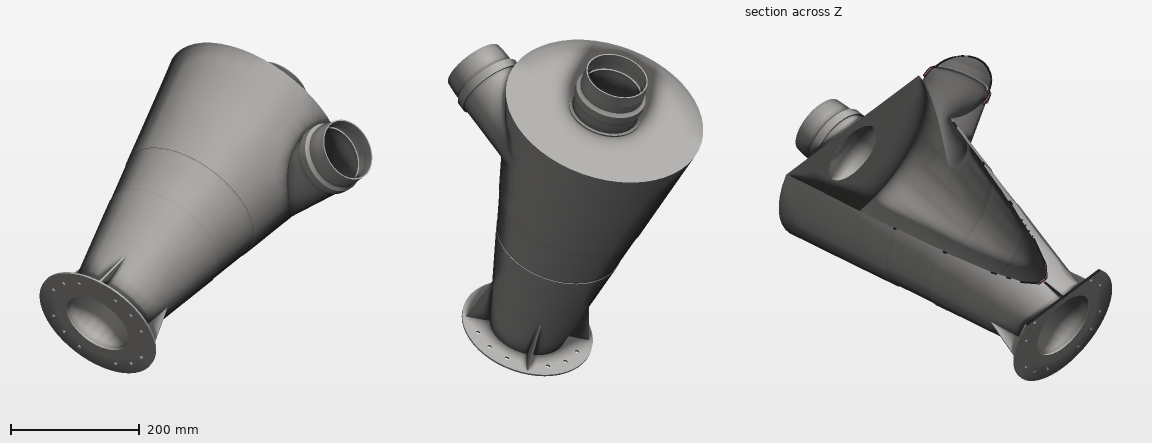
import cadquery as cq
import math


sheet = 1.0
cone_length = 474.0
top_radius = 317.45 / 2
base_radius = 60.5
upper_joint_y = 276.5
lower_joint_y = 196.5
joint_overlap = 6.5
slope = (top_radius - base_radius) / cone_length

flange_radius = 105.0
flange_thickness = 3.0
flange_hole_radius = 56.0
bolt_circle_radius = 86.0
bolt_hole_diameter = 6.5
bolt_spacing = 22.5
bolts_per_quarter = 3
gusset_count = 4
gusset_thickness = 3.0
gusset_foot_radius = 98.5
gusset_top_y = 82.0

mouth_radius = 49.25
hose_radius = 50.8
pipe_radius = 52.5
collar_radius = 55.8
taper_depth = 18.4
shoulder_depth = 31.7
collar_top_depth = 36.7
collar_bottom_depth = 50.0
spigot_wall = 2.0
lip_radius = 46.25
pipe_wall = 1.0

outlet_length = 550.33 - cone_length
outlet_flange_radius = 57.5
outlet_flange_thickness = 2.5

inlet_swing = math.radians(50.0)
inlet_tilt = math.radians(10.0)
inlet_mouth = cq.Vector(197.3, cone_length - 48.2, 103.0)
inlet_length = 210.0


def cone_radius(y):
    """Outside radius of the upper and lower shell sections at height y."""
    return base_radius + slope * y


def revolve_about_y(points):
    """Solid of revolution about Y from (radius, y) points."""
    return cq.Workplane("XY").polyline(points).close().revolve(360, (0, 0, 0), (0, 1, 0))


def cone_solid(y_low, y_high, inset):
    """Solid cone between two heights, inset from the outside of the shell."""
    low = cone_radius(y_low) - inset
    high = cone_radius(y_high) - inset
    return revolve_about_y([(0, y_low), (low, y_low), (high, y_high), (0, y_high)])


def cone_shell(y_low, y_high, inset):
    """One sheet thickness of cone."""
    return cone_solid(y_low, y_high, inset).cut(cone_solid(y_low, y_high, inset + sheet))


def spigot_outside(length):
    """Spigot envelope about Y, mouth at Y = 0 and pipe running to Y = -length."""
    return revolve_about_y([
        (0, 0),
        (mouth_radius, 0),
        (hose_radius, -taper_depth),
        (hose_radius, -shoulder_depth),
        (collar_radius, -collar_top_depth),
        (collar_radius, -collar_bottom_depth),
        (pipe_radius, -collar_bottom_depth),
        (pipe_radius, -length),
        (0, -length),
    ])


def spigot_bore(length):
    """Passage through a spigot: tapered hose end, ledge at the shoulder, then a flare to the pipe bore."""
    hose_bore = hose_radius - spigot_wall
    pipe_bore = pipe_radius - pipe_wall
    return revolve_about_y([
        (0, 0),
        (mouth_radius - spigot_wall, 0),
        (hose_bore, -taper_depth),
        (hose_bore, -shoulder_depth),
        (lip_radius, -shoulder_depth),
        (pipe_bore, -collar_top_depth),
        (pipe_bore, -length),
        (0, -length),
    ])


def place_on_inlet(spigot):
    """Move a spigot from the Y axis to the inlet axis."""
    axis = cq.Vector(
        math.cos(inlet_tilt) * math.cos(inlet_swing),
        math.sin(inlet_tilt),
        math.cos(inlet_tilt) * math.sin(inlet_swing),
    )
    side = cq.Vector(math.sin(inlet_swing), 0, -math.cos(inlet_swing))
    plane = cq.Plane(origin=inlet_mouth, xDir=side, normal=side.cross(axis))
    return cq.Workplane(obj=spigot.val().moved(cq.Location(plane)))


def make_inlet_housing():
    """Upper cone with its lid and the inlet pipe."""
    lid_underside = cone_length - sheet
    chamber = cone_solid(upper_joint_y, lid_underside, sheet)
    body = cone_solid(upper_joint_y, cone_length, 0)
    body = body.union(place_on_inlet(spigot_outside(inlet_length)))
    body = body.cut(chamber)
    body = body.cut(place_on_inlet(spigot_bore(inlet_length)))
    outlet_hole = (
        cq.Workplane("XZ", origin=(0, cone_length, 0))
        .circle(pipe_radius - pipe_wall)
        .extrude(sheet)
    )
    return body.cut(outlet_hole)


def make_outlet():
    """Outlet spigot standing on the lid on its own small flange."""
    spigot = spigot_outside(outlet_length)
    foot = (
        cq.Workplane("XZ", origin=(0, -outlet_length, 0))
        .circle(outlet_flange_radius)
        .extrude(-outlet_flange_thickness)
    )
    spigot = spigot.union(foot).cut(spigot_bore(outlet_length))
    return spigot.translate((0, cone_length + outlet_length, 0))


def make_flange():
    """Dust flange with three bolt holes in each quarter."""
    angles = [
        90 * quarter + bolt_spacing * step
        for quarter in range(4)
        for step in range(1, bolts_per_quarter + 1)
    ]
    bolts = [
        (
            bolt_circle_radius * math.cos(math.radians(angle)),
            bolt_circle_radius * math.sin(math.radians(angle)),
        )
        for angle in angles
    ]
    return (
        cq.Workplane("XZ")
        .circle(flange_radius)
        .circle(flange_hole_radius)
        .extrude(-flange_thickness)
        .pushPoints(bolts)
        .circle(bolt_hole_diameter / 2)
        .cutThruAll()
    )


def make_gusset(angle):
    """Triangular plate between the flange and the lower cone."""
    blank = (
        cq.Workplane("XY")
        .moveTo(base_radius - sheet, flange_thickness)
        .lineTo(gusset_foot_radius, flange_thickness)
        .lineTo(cone_radius(gusset_top_y), gusset_top_y)
        .close()
        .extrude(gusset_thickness / 2, both=True)
    )
    gusset = blank.cut(cone_solid(flange_thickness, upper_joint_y, 0))
    return gusset.rotate((0, 0, 0), (0, 1, 0), angle)


inlet_housing = make_inlet_housing()
outlet = make_outlet()
middle_cone = cone_shell(lower_joint_y - joint_overlap, upper_joint_y + joint_overlap, sheet)
lower_cone = cone_shell(flange_thickness, lower_joint_y, 0)
flange = make_flange()
gussets = [make_gusset(360 / gusset_count * i) for i in range(gusset_count)]

result = cq.Compound.makeCompound([
    inlet_housing.val(),
    outlet.val(),
    middle_cone.val(),
    lower_cone.val(),
    flange.val(),
    *[gusset.val() for gusset in gussets],
])